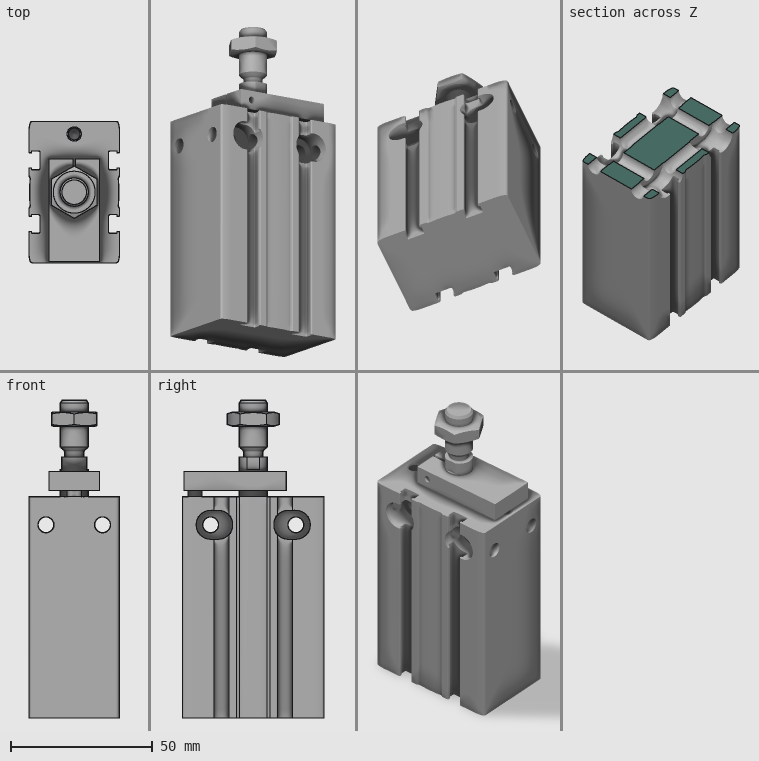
import cadquery as cq
import math

total_height = 112.0
housing_width = 32.0
housing_length = 50.0
housing_height = 78.1
half_width = housing_width / 2
half_length = housing_length / 2

side_curve_radius = 10.0
side_curve_start = 21.4
corner_radius = 1.0
crown_half_length = 4.8
crown_edge_depth = 0.5
crown_middle_depth = 0.2
recess_half_length = 5.8
recess_shoulder_half_length = 5.5
recess_shoulder_depth = 0.2

slot_center = 11.2
slot_mouth_width = 5.3
slot_inner_width = 6.5
slot_lip = 1.0
slot_depth = 3.9
slot_lip_radius = 0.5
slot_floor_radius = 0.5

mount_hole_diameter = 5.5
mount_hole_drop = 10.0
mount_hole_z = housing_height - mount_hole_drop
long_hole_x = 10.0
cross_hole_y = 15.0
counterbore_diameter = 10.2
counterbore_shift = 2.7
counterbore_depth = 9.0

port_diameter = 4.1
port_mouth_diameter = 5.0
port_depth = 6.7
drill_point_angle = 118.0

rod_diameter = 10.0
rod_top_chamfer_height = 1.0
rod_top_chamfer_width = 0.7
rod_neck_diameter = 6.7
rod_neck_bottom = 92.1
rod_neck_top = 94.0
rod_neck_fillet = 0.2
rod_flat_gap = 9.0
rod_flat_bottom = 87.6

nut_across_flats = 16.0
nut_thickness = 5.0
nut_bottom = 102.8
nut_face_diameter = 14.8
nut_chamfer_height = 0.7

plate_width = 17.9
plate_back = 11.6
plate_front = -24.4
plate_bottom = 80.2
plate_thickness = 6.7
slit_width = 1.0
clamp_hole_diameter = 2.5
clamp_hole_y = 7.0

pin_diameter = 5.0
pin_offset = 20.5
pin_recess_mouth_diameter = 7.0
pin_recess_floor_diameter = 6.0
pin_recess_depth = 0.3


def cylinder(diameter, bottom, top, y=0.0):
    """Upright cylinder between two heights, centered on X = 0."""
    return cq.Workplane("XY", origin=(0, y, bottom)).circle(diameter / 2).extrude(top - bottom)


def cone_between(lower_diameter, upper_diameter, bottom, top, y=0.0):
    """Upright cone frustum between two heights, centered on X = 0."""
    base = cq.Vector(0, y, bottom)
    solid = cq.Solid.makeCone(lower_diameter / 2, upper_diameter / 2, top - bottom, base)
    return cq.Workplane(obj=solid)


def side_curve_point(y):
    """Point on the rounded flank beside the +X, +Y housing corner."""
    rise = y - side_curve_start
    inset = side_curve_radius - math.sqrt(side_curve_radius**2 - rise**2)
    return half_width - inset, y


def housing_blank():
    """Housing bar with rounded flanks and a shallow crowned recess on each side."""
    flank_middle = side_curve_point((side_curve_start + half_length) / 2)
    flank_end = side_curve_point(half_length)
    crown_edge = half_width - crown_edge_depth
    shoulder = half_width - recess_shoulder_depth
    half_bar = (
        cq.Workplane("XY")
        .moveTo(0, -half_length)
        .lineTo(flank_end[0], -flank_end[1])
        .threePointArc((flank_middle[0], -flank_middle[1]), (half_width, -side_curve_start))
        .lineTo(half_width, -recess_half_length)
        .lineTo(shoulder, -recess_shoulder_half_length)
        .lineTo(crown_edge, -crown_half_length)
        .threePointArc((half_width - crown_middle_depth, 0), (crown_edge, crown_half_length))
        .lineTo(shoulder, recess_shoulder_half_length)
        .lineTo(half_width, recess_half_length)
        .lineTo(half_width, side_curve_start)
        .threePointArc(flank_middle, flank_end)
        .lineTo(0, half_length)
        .close()
        .extrude(housing_height)
    )
    bar = half_bar.union(half_bar.mirror("YZ"))
    corner_edges = bar.edges("|Z").edges("<Y or >Y")
    return corner_edges.fillet(corner_radius)


def sensor_slot():
    """T-shaped cutter for the +X, +Y slot, whose mouth flares out over rounded lips."""
    lip_inner_x = half_width - slot_lip
    floor_x = half_width - slot_depth
    inner = (
        cq.Workplane("XY")
        .center((lip_inner_x + floor_x) / 2, slot_center)
        .rect(lip_inner_x - floor_x, slot_inner_width)
        .extrude(housing_height)
        .edges("|Z and <X")
        .fillet(slot_floor_radius)
    )
    near_edge = slot_center - slot_mouth_width / 2
    far_edge = slot_center + slot_mouth_width / 2
    round_start = half_width - slot_lip_radius
    arc_offset = slot_lip_radius * (1 - math.sqrt(0.5))
    mouth = (
        cq.Workplane("XY")
        .moveTo(lip_inner_x, near_edge)
        .lineTo(round_start, near_edge)
        .threePointArc(
            (half_width - arc_offset, near_edge - arc_offset),
            (half_width, near_edge - slot_lip_radius),
        )
        .lineTo(half_width, far_edge + slot_lip_radius)
        .threePointArc(
            (half_width - arc_offset, far_edge + arc_offset),
            (round_start, far_edge),
        )
        .lineTo(lip_inner_x, far_edge)
        .close()
        .extrude(housing_height)
    )
    return inner.union(mouth)


def long_mounting_holes():
    """Two through holes along Y."""
    return (
        cq.Workplane("XZ", origin=(0, half_length, 0))
        .pushPoints([(-long_hole_x, mount_hole_z), (long_hole_x, mount_hole_z)])
        .circle(mount_hole_diameter / 2)
        .extrude(housing_length)
    )


def cross_mounting_hole():
    """Through hole along X at +Y, with an oblong counterbore at both ends."""
    hole = (
        cq.Workplane("YZ", origin=(-half_width, cross_hole_y, mount_hole_z))
        .circle(mount_hole_diameter / 2)
        .extrude(housing_width)
    )
    counterbore = (
        cq.Workplane("YZ", origin=(half_width, cross_hole_y - counterbore_shift / 2, mount_hole_z))
        .slot2D(counterbore_diameter + counterbore_shift, counterbore_diameter)
        .extrude(-counterbore_depth)
    )
    return hole.union(counterbore).union(counterbore.mirror("YZ"))


def air_port():
    """Blind drilled port with a countersunk mouth and a conical bottom."""
    mouth_depth = (port_mouth_diameter - port_diameter) / 2
    port_bottom = housing_height - port_depth
    tip_height = port_diameter / 2 / math.tan(math.radians(drill_point_angle / 2))
    bore = cylinder(port_diameter, port_bottom, housing_height, y=pin_offset)
    mouth = cone_between(
        port_diameter, port_mouth_diameter, housing_height - mouth_depth, housing_height, y=pin_offset
    )
    tip = cone_between(0, port_diameter, port_bottom - tip_height, port_bottom, y=pin_offset)
    return bore.union(mouth).union(tip)


def pin_recess():
    """Shallow tapered recess that seats the guide pin."""
    return cone_between(
        pin_recess_floor_diameter,
        pin_recess_mouth_diameter,
        housing_height - pin_recess_depth,
        housing_height,
        y=-pin_offset,
    )


def make_housing():
    """Housing with all of its slots, holes and recesses."""
    slots = sensor_slot()
    slots = slots.union(slots.mirror("XZ"))
    slots = slots.union(slots.mirror("YZ"))
    cross_hole = cross_mounting_hole()
    return (
        housing_blank()
        .cut(slots)
        .cut(long_mounting_holes())
        .cut(cross_hole)
        .cut(cross_hole.mirror("XZ"))
        .cut(air_port())
        .cut(pin_recess())
    )


def make_piston_rod():
    """Rod standing on the housing, with wrench flats, a neck and a chamfered tip."""
    taper_height = (rod_diameter - rod_neck_diameter) / 2
    thread_bottom = rod_neck_top + taper_height
    shank = cylinder(rod_diameter, housing_height, rod_neck_bottom)
    flat_height = rod_neck_bottom - rod_flat_bottom
    between_flats = cq.Workplane("XY", origin=(0, 0, rod_flat_bottom)).rect(rod_flat_gap, rod_diameter)
    flat_waste = cylinder(rod_diameter, rod_flat_bottom, rod_neck_bottom).cut(
        between_flats.extrude(flat_height)
    )
    neck = cylinder(rod_neck_diameter, rod_neck_bottom, rod_neck_top)
    taper = cone_between(rod_neck_diameter, rod_diameter, rod_neck_top, thread_bottom)
    thread = cylinder(rod_diameter, thread_bottom, total_height).faces(">Z").chamfer(
        rod_top_chamfer_height, rod_top_chamfer_width
    )
    rod = shank.cut(flat_waste).union(neck).union(taper).union(thread)
    neck_ends = cq.selectors.RadiusNthSelector(0)
    return rod.edges("%CIRCLE").edges(neck_ends).fillet(rod_neck_fillet)


def make_nut():
    """Hexagon nut with corners on the Y axis and conical chamfers on both faces."""
    corner_diameter = nut_across_flats / math.cos(math.pi / 6)
    nut_top = nut_bottom + nut_thickness
    hexagon = (
        cq.Workplane("XY", origin=(0, 0, nut_bottom))
        .transformed(rotate=(0, 0, 90))
        .polygon(6, corner_diameter)
        .extrude(nut_thickness)
    )
    lower_shoulder = nut_bottom + nut_chamfer_height
    upper_shoulder = nut_top - nut_chamfer_height
    envelope = (
        cylinder(corner_diameter, lower_shoulder, upper_shoulder)
        .union(cone_between(nut_face_diameter, corner_diameter, nut_bottom, lower_shoulder))
        .union(cone_between(corner_diameter, nut_face_diameter, upper_shoulder, nut_top))
    )
    return hexagon.intersect(envelope).cut(cylinder(rod_diameter, nut_bottom, nut_top))


def make_guide_plate():
    """Plate clamped on the rod, split behind the rod, with a clamp hole from its -X side to the slit."""
    plate_top = plate_bottom + plate_thickness
    block = (
        cq.Workplane("XY", origin=(0, (plate_back + plate_front) / 2, plate_bottom))
        .rect(plate_width, plate_back - plate_front)
        .extrude(plate_thickness)
    )
    rod_hole = cylinder(rod_diameter, plate_bottom, plate_top)
    slit = (
        cq.Workplane("XY", origin=(0, plate_back / 2, plate_bottom))
        .rect(slit_width, plate_back)
        .extrude(plate_thickness)
    )
    clamp_hole = (
        cq.Workplane("YZ", origin=(-plate_width / 2, clamp_hole_y, plate_bottom + plate_thickness / 2))
        .circle(clamp_hole_diameter / 2)
        .extrude(plate_width / 2)
    )
    return block.cut(rod_hole).cut(slit).cut(clamp_hole)


def make_guide_pin():
    """Short pin between its recess in the housing and the guide plate."""
    return cylinder(pin_diameter, housing_height - pin_recess_depth, plate_bottom, y=-pin_offset)


housing = make_housing()
piston_rod = make_piston_rod()
nut = make_nut()
guide_plate = make_guide_plate()
guide_pin = make_guide_pin()

result = cq.Compound.makeCompound(
    [housing.val(), piston_rod.val(), nut.val(), guide_plate.val(), guide_pin.val()]
)